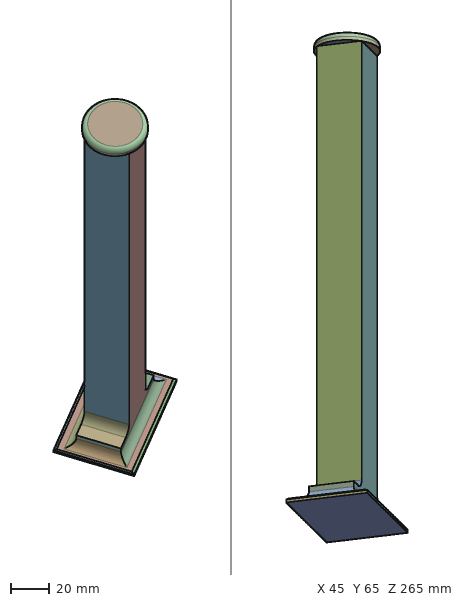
import cadquery as cq

total_height = 265.0
plate_x = 45.0
plate_y = 65.0
plate_height = 2.5
plate_bevel_x = 1.5
plate_bevel_y = 0.8
plate_bevel_height = 0.8

post_side = 25.0
foot_y = 50.0
foot_top = 10.3
blend_radius = 5.0
cap_diameter = 34.7
cap_height = 5.0
cap_fillet = 3.0


def base_plate():
    """Rectangular plate whose upper edges are bevelled."""
    straight_height = plate_height - plate_bevel_height
    lower = cq.Workplane("XY").rect(plate_x, plate_y).extrude(straight_height)
    upper = (
        cq.Workplane("XY", origin=(0, 0, straight_height))
        .rect(plate_x, plate_y)
        .workplane(offset=plate_bevel_height)
        .rect(plate_x - 2 * plate_bevel_x, plate_y - 2 * plate_bevel_y)
        .loft(ruled=True)
    )
    return lower.union(upper)


def cove_prism(plane, top_width, length):
    """Bar with concave flanks, centred on the origin along its length."""
    half_top = top_width / 2
    half_bottom = half_top + blend_radius
    cove_top = plate_height + blend_radius
    mid_offset = blend_radius * 0.5**0.5
    mid_x = half_bottom - mid_offset
    mid_z = cove_top - mid_offset
    return (
        cq.Workplane(plane)
        .moveTo(-half_bottom, 0)
        .lineTo(half_bottom, 0)
        .lineTo(half_bottom, plate_height)
        .threePointArc((mid_x, mid_z), (half_top, cove_top))
        .lineTo(-half_top, cove_top)
        .threePointArc((-mid_x, mid_z), (-half_bottom, plate_height))
        .close()
        .extrude(length / 2, both=True)
    )


def cove_skirt():
    """Concave skirt with mitred corners, where two crossing bars overlap."""
    along_y = cove_prism("XZ", post_side, plate_y)
    along_x = cove_prism("YZ", foot_y, plate_x)
    return along_y.intersect(along_x)


def post_with_foot():
    """Post and foot block, blended by fillets on the two Y sides."""
    foot = cq.Workplane("XY").box(post_side, foot_y, foot_top, centered=(True, True, False))
    post = cq.Workplane("XY").rect(post_side, post_side).extrude(total_height - cap_height)
    half_side = post_side / 2
    margin = 0.3
    inner_corners = cq.selectors.BoxSelector(
        (-post_side, -half_side - margin, foot_top - margin),
        (post_side, half_side + margin, foot_top + margin),
    )
    return foot.union(post).edges("|X").edges(inner_corners).fillet(blend_radius)


def cap():
    """Round cap with a rounded upper rim."""
    return (
        cq.Workplane("XY", origin=(0, 0, total_height - cap_height))
        .circle(cap_diameter / 2)
        .extrude(cap_height)
        .faces(">Z")
        .edges()
        .fillet(cap_fillet)
    )


result = base_plate().union(cove_skirt()).union(post_with_foot()).union(cap())